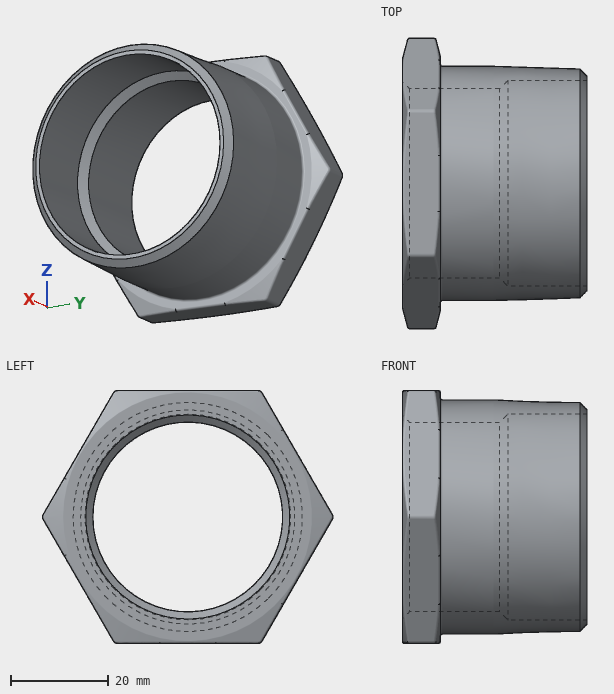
import cadquery as cq
import math

across_corners = 59.75
total_length = 38.0

head_sides = 6
head_length = 7.8
corner_radius = 1.0
rim_radius = 0.5
front_bevel_diameter = 51.1
back_bevel_diameter = 52.45
bevel_angle = 15

shank_diameter = 48.2
root_radius = 0.5
taper_start = 18.8
taper_ratio = 1 / 16
tip_chamfer = 1.5

bore_diameter = 38.95
mouth_diameter = 41.95
rear_bore_diameter = 42.3
front_bore_length = 20.0

corner_cosine = math.cos(math.pi / head_sides)
across_flats = across_corners * corner_cosine + 2 * corner_radius * (1 - corner_cosine)
sharp_across_corners = across_flats / corner_cosine


def revolve_about_x(profile):
    """Solid of revolution about the X axis from a closed list of (x, radius) points."""
    return cq.Workplane("XY").polyline(profile).close().revolve(360, (0, 0, 0), (1, 0, 0))


def make_head():
    """Hexagon with rounded corners, a conical bevel on each face and softened rims."""
    hexagon = (
        cq.Workplane("YZ")
        .polygon(head_sides, sharp_across_corners)
        .extrude(head_length)
        .edges("|X")
        .fillet(corner_radius)
    )
    bevel_slope = math.tan(math.radians(bevel_angle))
    envelope_radius = sharp_across_corners / 2
    front_radius = front_bevel_diameter / 2
    back_radius = back_bevel_diameter / 2
    bevel_envelope = revolve_about_x([
        (0, 0),
        (0, front_radius),
        ((envelope_radius - front_radius) * bevel_slope, envelope_radius),
        (head_length - (envelope_radius - back_radius) * bevel_slope, envelope_radius),
        (head_length, back_radius),
        (head_length, 0),
    ])
    return hexagon.intersect(bevel_envelope).edges("not(|X)").fillet(rim_radius)


def make_shank():
    """Round shank with a flared root behind the head and a tapered, chamfered end."""
    shank_radius = shank_diameter / 2
    tip_radius = shank_radius - (total_length - taper_start) * taper_ratio / 2
    flare_offset = root_radius * (1 - math.sqrt(0.5))
    shank = (
        cq.Workplane("XY")
        .moveTo(head_length, 0)
        .lineTo(head_length, shank_radius + root_radius)
        .threePointArc(
            (head_length + flare_offset, shank_radius + flare_offset),
            (head_length + root_radius, shank_radius),
        )
        .lineTo(taper_start, shank_radius)
        .lineTo(total_length, tip_radius)
        .lineTo(total_length, 0)
        .close()
        .revolve(360, (0, 0, 0), (1, 0, 0))
    )
    return shank.faces(">X").edges().chamfer(tip_chamfer)


def make_bore():
    """Through bore with a 45 degree mouth and a 45 degree step to the wider rear bore."""
    bore_radius = bore_diameter / 2
    mouth_radius = mouth_diameter / 2
    rear_radius = rear_bore_diameter / 2
    return revolve_about_x([
        (0, 0),
        (0, mouth_radius),
        (mouth_radius - bore_radius, bore_radius),
        (front_bore_length, bore_radius),
        (front_bore_length + rear_radius - bore_radius, rear_radius),
        (total_length, rear_radius),
        (total_length, 0),
    ])


result = make_head().union(make_shank()).cut(make_bore())